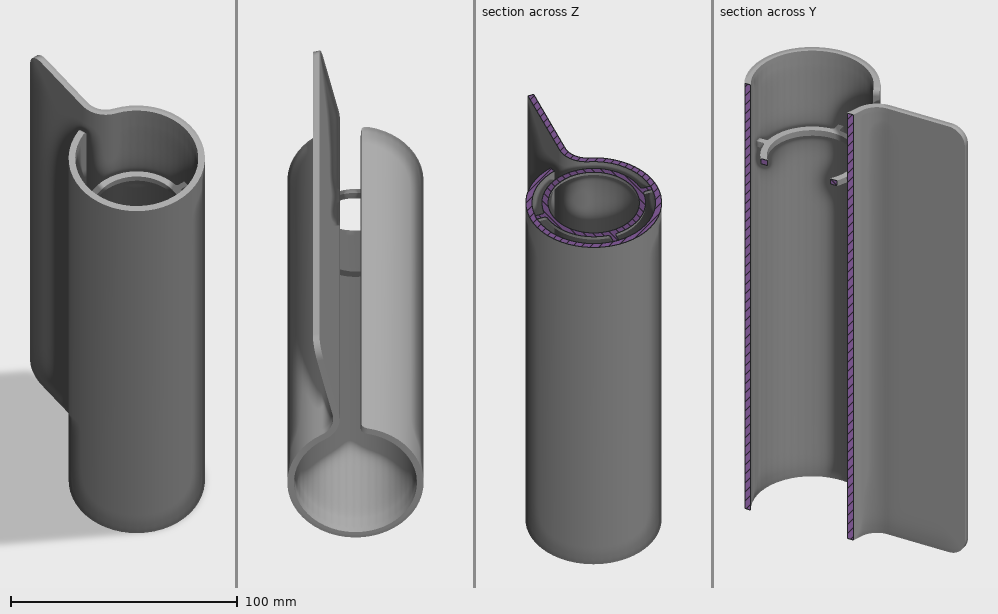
import cadquery as cq
import math

length = 225.0
overall_width = 106.9
tube_diameter = 60.0
wall = 3.0
bend_radius = 10.0
slot_end_angle = 198.0
flange_corner_radius = 8.0
lip_corner_radius = 3.0

ring_outer_radius = 23.0
ring_inner_radius = 20.0
ring_height = 3.0
ring_top_depth = 37.4
rib_width = 2.7
rib_root_radius = 1.1
rib_angles = (-90, 0, 90)

tube_radius = tube_diameter / 2
bore_radius = tube_radius - wall
flange_end_x = tube_radius - overall_width
half_wall = wall / 2
bend_center_y = half_wall + bend_radius
bend_center_x = -math.sqrt((tube_radius + bend_radius) ** 2 - bend_center_y ** 2)
tangent_angle = math.degrees(math.atan2(bend_center_y, bend_center_x))


def polar(radius, angle, center=(0, 0)):
    """Point at an angle in degrees around a center."""
    turn = math.radians(angle)
    return (center[0] + radius * math.cos(turn), center[1] + radius * math.sin(turn))


def make_holder():
    """Slotted tube with a flat flange, extruded from one sheet outline."""
    bend_center = (bend_center_x, bend_center_y)
    bend_outer_radius = bend_radius + wall
    bend_end_angle = tangent_angle - 180
    bend_middle_angle = (bend_end_angle - 90) / 2
    tube_middle_angle = (tangent_angle + slot_end_angle - 360) / 2
    lip_angle = slot_end_angle

    holder = (
        cq.Workplane("XY")
        .moveTo(flange_end_x, half_wall)
        .lineTo(bend_center_x, half_wall)
        .threePointArc(
            polar(bend_radius, bend_middle_angle, bend_center),
            polar(tube_radius, tangent_angle),
        )
        .threePointArc(polar(tube_radius, tube_middle_angle), polar(tube_radius, lip_angle))
        .lineTo(*polar(bore_radius, lip_angle))
        .threePointArc(polar(bore_radius, tube_middle_angle), polar(bore_radius, tangent_angle))
        .threePointArc(
            polar(bend_outer_radius, bend_middle_angle, bend_center),
            (bend_center_x, -half_wall),
        )
        .lineTo(flange_end_x, -half_wall)
        .close()
        .extrude(length)
    )

    holder = holder.faces("<X").edges("|Y").fillet(flange_corner_radius)
    lip_x, lip_y = polar((tube_radius + bore_radius) / 2, lip_angle)
    for corner_z in (0, length):
        lip_edge = cq.selectors.NearestToPointSelector((lip_x, lip_y, corner_z))
        holder = holder.edges(lip_edge).fillet(lip_corner_radius)
    return holder


def make_rib(angle):
    """Radial rib from the axis past the bore, to be trimmed to fit."""
    rib = cq.Workplane("XY").center(tube_radius / 2, 0).rect(tube_radius, rib_width).extrude(ring_height)
    return rib.rotate((0, 0, 0), (0, 0, 1), angle)


def make_spacer_ring():
    """Thin ring held inside the tube by three radial ribs."""
    ring = cq.Workplane("XY").circle(ring_outer_radius).extrude(ring_height)
    for angle in rib_angles:
        ring = ring.union(make_rib(angle))
    bore_limit = cq.Workplane("XY").circle(bore_radius).extrude(ring_height)
    bore_cut = cq.Workplane("XY").circle(ring_inner_radius).extrude(ring_height)
    ring = ring.intersect(bore_limit)

    half_rib = rib_width / 2
    root_offset = math.degrees(math.asin(half_rib / ring_outer_radius))
    for angle in rib_angles:
        for side in (-root_offset, root_offset):
            root_x, root_y = polar(ring_outer_radius, angle + side)
            root_edge = cq.selectors.NearestToPointSelector((root_x, root_y, ring_height / 2))
            ring = ring.edges(root_edge).fillet(rib_root_radius)
    ring = ring.cut(bore_cut)
    return ring.translate((0, 0, length - ring_top_depth - ring_height))


holder = make_holder()
spacer_ring = make_spacer_ring()

result = cq.Compound.makeCompound([holder.solids().val(), spacer_ring.solids().val()])